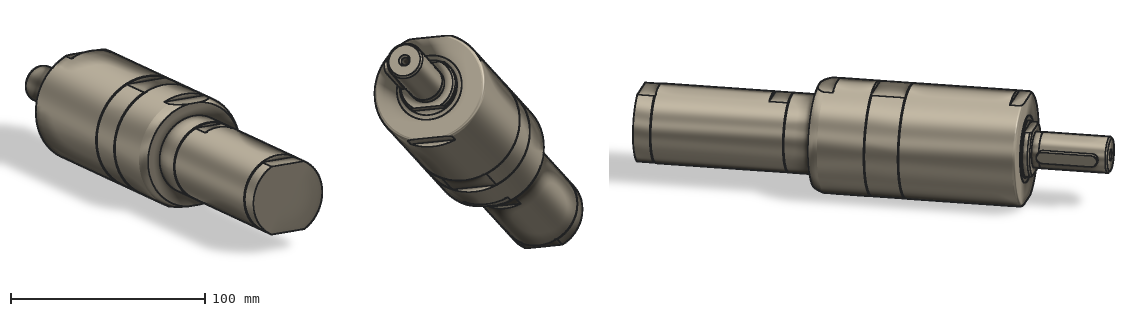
import cadquery as cq
import math

TOTAL_LENGTH = 247.5

SHAFT_DIA = 19.0
SHAFT_CHAMFER = 1.0
SEAT_END = 36.0
ROOT_DIA = 18.8

COLLAR_DIA = 29.95
COLLAR_START = 39.8
COLLAR_FRONT_CHAMFER = 1.0
COLLAR_REAR_CHAMFER = 0.6
COLLAR_ACROSS_FLATS = 24.0

BODY_DIA = 60.0
BODY_START = 44.0
BODY_FRONT_RADIUS = 1.7
BODY_NOSE_START = 148.5
BODY_END = 153.7
NOSE_END_DIA = 55.38
NOSE_RADIUS = 14.0
BODY_ACROSS_FLATS = 55.0
FRONT_FLAT_END = 50.7
MIDDLE_FLAT_START = 106.0
MIDDLE_FLAT_END = 124.0
REAR_FLAT_START = 144.0

FACE_GROOVE_DIA = 35.0
FACE_GROOVE_DEPTH = 0.2

BARREL_DIA = 41.5
NECK_FLAT_START = 168.5
NECK_FLAT_END = 178.3
NECK_ACROSS_FLATS = 38.0
END_FLAT_START = 238.0
END_ACROSS_FLATS = 36.5

JOINT_WIDTH = 0.6
JOINT_DEPTH = 0.25

KEY_WIDTH = 6.0
KEY_LENGTH = 32.0
KEY_START = 4.7
KEY_HEIGHT = 6.0
KEY_TOP = 12.3

CENTRE_SINK_DIA = 6.0
CENTRE_BORE_DIA = 4.13
CENTRE_BORE_DEPTH = 10.0
CENTRE_SINK_ANGLE = 60.0
DRILL_POINT_ANGLE = 118.0


def revolve_about_x(profile):
    """Spin a closed (x, radius) profile around the X axis."""
    return profile.close().revolve(360, (0, 0, 0), (1, 0, 0))


def make_shaft():
    radius = SHAFT_DIA / 2
    profile = (
        cq.Workplane("XY")
        .moveTo(0, 0)
        .lineTo(0, radius - SHAFT_CHAMFER)
        .lineTo(SHAFT_CHAMFER, radius)
        .lineTo(SEAT_END, radius)
        .lineTo(SEAT_END, ROOT_DIA / 2)
        .lineTo(BODY_START, ROOT_DIA / 2)
        .lineTo(BODY_START, 0)
    )
    return revolve_about_x(profile)


def make_collar():
    radius = COLLAR_DIA / 2
    profile = (
        cq.Workplane("XY")
        .moveTo(COLLAR_START, 0)
        .lineTo(COLLAR_START, radius - COLLAR_FRONT_CHAMFER)
        .lineTo(COLLAR_START + COLLAR_FRONT_CHAMFER, radius)
        .lineTo(BODY_START - COLLAR_REAR_CHAMFER, radius)
        .lineTo(BODY_START, radius - COLLAR_REAR_CHAMFER)
        .lineTo(BODY_START, 0)
    )
    return revolve_about_x(profile)


def make_body():
    radius = BODY_DIA / 2
    profile = (
        cq.Workplane("XY")
        .moveTo(BODY_START, 0)
        .lineTo(BODY_START, radius - BODY_FRONT_RADIUS)
        .radiusArc((BODY_START + BODY_FRONT_RADIUS, radius), BODY_FRONT_RADIUS)
        .lineTo(BODY_NOSE_START, radius)
        .radiusArc((BODY_END, NOSE_END_DIA / 2), NOSE_RADIUS)
        .lineTo(BODY_END, 0)
    )
    return revolve_about_x(profile)


def make_barrel():
    return (
        cq.Workplane("YZ", origin=(BODY_END, 0, 0))
        .circle(BARREL_DIA / 2)
        .extrude(TOTAL_LENGTH - BODY_END)
    )


def make_key():
    centre_x = KEY_START + KEY_LENGTH / 2
    return (
        cq.Workplane("XZ", origin=(centre_x, KEY_TOP, 0))
        .slot2D(KEY_LENGTH, KEY_WIDTH)
        .extrude(KEY_HEIGHT)
    )


def flat_cutter(start, end, across_flats):
    """Two blocks that, once cut away, leave parallel flats facing +Z and -Z."""
    length = end - start
    centre_x = start + length / 2
    block_height = BODY_DIA / 2
    offset = across_flats / 2 + block_height / 2
    block = cq.Workplane("XY").box(length, 2 * BODY_DIA, block_height)
    upper = block.translate((centre_x, 0, offset))
    lower = block.translate((centre_x, 0, -offset))
    return upper.union(lower)


def joint_groove(end, diameter):
    """One-sided groove that slopes inward to a small shoulder at its end."""
    radius = diameter / 2
    profile = (
        cq.Workplane("XY")
        .moveTo(end - JOINT_WIDTH, radius)
        .lineTo(end, radius - JOINT_DEPTH)
        .lineTo(end, radius)
    )
    return revolve_about_x(profile)


def face_groove():
    """Shallow annular groove around the collar in the front face of the body."""
    return (
        cq.Workplane("YZ", origin=(BODY_START, 0, 0))
        .circle(FACE_GROOVE_DIA / 2)
        .circle(COLLAR_DIA / 2)
        .extrude(FACE_GROOVE_DEPTH)
    )


def centre_hole():
    sink_radius = CENTRE_SINK_DIA / 2
    bore_radius = CENTRE_BORE_DIA / 2
    sink_depth = (sink_radius - bore_radius) / math.tan(math.radians(CENTRE_SINK_ANGLE / 2))
    point_depth = bore_radius / math.tan(math.radians(DRILL_POINT_ANGLE / 2))
    profile = (
        cq.Workplane("XY")
        .moveTo(0, 0)
        .lineTo(0, sink_radius)
        .lineTo(sink_depth, bore_radius)
        .lineTo(CENTRE_BORE_DEPTH, bore_radius)
        .lineTo(CENTRE_BORE_DEPTH + point_depth, 0)
    )
    return revolve_about_x(profile)


FLATS = [
    (COLLAR_START, BODY_START, COLLAR_ACROSS_FLATS),
    (BODY_START, FRONT_FLAT_END, BODY_ACROSS_FLATS),
    (MIDDLE_FLAT_START, MIDDLE_FLAT_END, BODY_ACROSS_FLATS),
    (REAR_FLAT_START, BODY_END, BODY_ACROSS_FLATS),
    (NECK_FLAT_START, NECK_FLAT_END, NECK_ACROSS_FLATS),
    (END_FLAT_START, TOTAL_LENGTH, END_ACROSS_FLATS),
]

JOINTS = [
    (MIDDLE_FLAT_START, BODY_DIA),
    (MIDDLE_FLAT_END, BODY_DIA),
    (NECK_FLAT_START, BARREL_DIA),
    (END_FLAT_START + JOINT_WIDTH, BARREL_DIA),
]

result = make_collar().union(make_body()).union(make_barrel())
for flat_start, flat_end, flat_width in FLATS:
    result = result.cut(flat_cutter(flat_start, flat_end, flat_width))
for joint_end, joint_diameter in JOINTS:
    result = result.cut(joint_groove(joint_end, joint_diameter))
result = result.cut(face_groove())
result = result.union(make_shaft()).union(make_key())
result = result.cut(centre_hole())